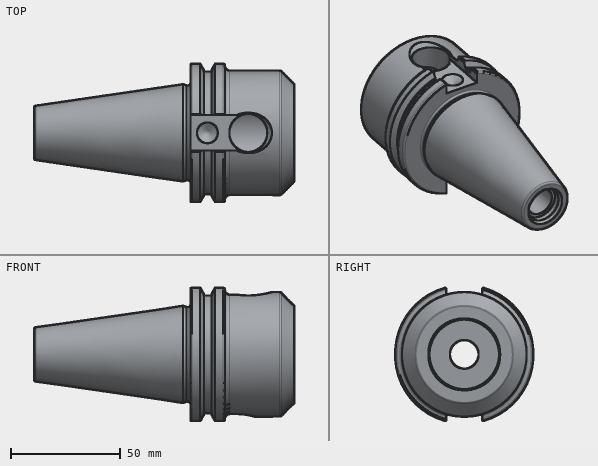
import cadquery as cq
import math

LENGTH = 119.0

TAPER_RATE = 7 / 24
GAUGE_DIAMETER = 44.6
GAUGE_X = 68.1
SMALL_END_FILLET = 1.0
NECK_DIAMETER = 43.6
NECK_START = 69.6
NECK_FILLET = 0.7

FLANGE_DIAMETER = 63.5
FLANGE_START = 71.4
FLANGE_END = 87.3
FLANGE_FILLET = 0.8
GROOVE_FLOOR_DIAMETER = 56.3
GROOVE_FLOOR_START = 77.6
GROOVE_FLOOR_END = 81.2
GROOVE_FLANK_RUN = 1.7
GROOVE_FLANK_ANGLE = 60.0

BODY_DIAMETER = 57.1
BODY_FILLET = 2.1
NOSE_CHAMFER = 6.3
NOSE_BLEND = 1.2
NOSE_FILLET = 0.6

THROUGH_DIAMETER = 13.0
PILOT_DIAMETER = 16.3
PILOT_DEPTH = 4.6
ENTRY_DIAMETER = 18.3
ENTRY_DEPTH = 1.7
TOOL_BORE_DIAMETER = 31.8
TOOL_BORE_MOUTH = 33.0
TOOL_BORE_DEPTH = 57.1

KEY_WIDTH = 16.3
KEY_EDGE_CHAMFER = 0.6
TOP_KEY_FLOOR = 24.9
BOTTOM_KEY_FLOOR = 22.6
BOTTOM_KEY_END = 101.2
SCREW_X = 98.0
SCREW_DIAMETER = 17.4
SCREW_SINK_START = 26.4
DIMPLE_X = 79.3
DIMPLE_DIAMETER = 9.5
DIMPLE_HALF_ANGLE = 60.0

FLANGE_R = FLANGE_DIAMETER / 2
BODY_R = BODY_DIAMETER / 2
KEY_HALF = KEY_WIDTH / 2


def revolve_profile(profile):
    """Turn a closed profile, drawn as (X, radius), about the X axis."""
    return profile.close().revolve(360, (0, 0, 0), (1, 0, 0))


def ring_edge(x, radius):
    """Select the circular edge at a given X and radius."""
    pad = 0.06
    return cq.selectors.BoxSelector(
        (x - pad, -radius - pad, -radius - pad),
        (x + pad, radius + pad, radius + pad),
        boundingbox=True,
    )


def turned_blank():
    gauge_r = GAUGE_DIAMETER / 2
    small_r = gauge_r - GAUGE_X * TAPER_RATE / 2
    neck_r = NECK_DIAMETER / 2
    floor_r = GROOVE_FLOOR_DIAMETER / 2
    flank_r = FLANGE_R - GROOVE_FLANK_RUN * math.tan(math.radians(GROOVE_FLANK_ANGLE))
    nose_r = BODY_R - NOSE_CHAMFER
    nose_x = LENGTH - NOSE_CHAMFER
    diagonal = math.sqrt(0.5)

    neck_mid = (
        FLANGE_START - NECK_FILLET * (1 - diagonal),
        neck_r + NECK_FILLET * (1 - diagonal),
    )
    body_mid = (
        FLANGE_END + BODY_FILLET * (1 - diagonal),
        BODY_R + BODY_FILLET * (1 - diagonal),
    )
    profile = (
        cq.Workplane("XY")
        .moveTo(0, 0)
        .lineTo(0, small_r)
        .lineTo(GAUGE_X, gauge_r)
        .lineTo(NECK_START, neck_r)
        .lineTo(FLANGE_START - NECK_FILLET, neck_r)
        .threePointArc(neck_mid, (FLANGE_START, neck_r + NECK_FILLET))
        .lineTo(FLANGE_START, FLANGE_R)
        .lineTo(GROOVE_FLOOR_START - GROOVE_FLANK_RUN, FLANGE_R)
        .lineTo(GROOVE_FLOOR_START, flank_r)
        .lineTo(GROOVE_FLOOR_START, floor_r)
        .lineTo(GROOVE_FLOOR_END, floor_r)
        .lineTo(GROOVE_FLOOR_END, flank_r)
        .lineTo(GROOVE_FLOOR_END + GROOVE_FLANK_RUN, FLANGE_R)
        .lineTo(FLANGE_END, FLANGE_R)
        .lineTo(FLANGE_END, BODY_R + BODY_FILLET)
        .threePointArc(body_mid, (FLANGE_END + BODY_FILLET, BODY_R))
        .lineTo(nose_x, BODY_R)
        .lineTo(LENGTH, nose_r)
        .lineTo(LENGTH, 0)
    )
    blank = revolve_profile(profile)
    rounded_rings = [
        (0, small_r, SMALL_END_FILLET),
        (FLANGE_START, FLANGE_R, FLANGE_FILLET),
        (FLANGE_END, FLANGE_R, FLANGE_FILLET),
        (nose_x, BODY_R, NOSE_BLEND),
        (LENGTH, nose_r, NOSE_FILLET),
    ]
    for x, radius, fillet in rounded_rings:
        ring = blank.edges(ring_edge(x, radius)).edges(cq.selectors.RadiusNthSelector(-1))
        blank = ring.fillet(fillet)
    return blank


def axial_holes():
    through_r = THROUGH_DIAMETER / 2
    pilot_r = PILOT_DIAMETER / 2
    bore_r = TOOL_BORE_DIAMETER / 2
    mouth_r = TOOL_BORE_MOUTH / 2
    bore_floor = LENGTH - TOOL_BORE_DEPTH
    profile = (
        cq.Workplane("XY")
        .moveTo(0, 0)
        .lineTo(0, ENTRY_DIAMETER / 2)
        .lineTo(ENTRY_DEPTH, pilot_r)
        .lineTo(PILOT_DEPTH, pilot_r)
        .lineTo(PILOT_DEPTH, through_r)
        .lineTo(bore_floor, through_r)
        .lineTo(bore_floor, bore_r)
        .lineTo(LENGTH - (mouth_r - bore_r), bore_r)
        .lineTo(LENGTH, mouth_r)
        .lineTo(LENGTH, 0)
    )
    return revolve_profile(profile)


def key_edge_chamfers(side):
    """V-shaped cut that breaks the keyway edges on the flange rim; side is +1 or -1."""
    rim_z = math.sqrt(FLANGE_R**2 - (KEY_HALF + KEY_EDGE_CHAMFER)**2)
    low_z = rim_z - KEY_EDGE_CHAMFER
    top_half = KEY_HALF + FLANGE_R - low_z
    return (
        cq.Workplane("YZ", origin=(FLANGE_START, 0, 0))
        .polyline([
            (-KEY_HALF, side * low_z),
            (KEY_HALF, side * low_z),
            (top_half, side * FLANGE_R),
            (-top_half, side * FLANGE_R),
        ])
        .close()
        .extrude(FLANGE_END - FLANGE_START)
    )


def top_keyway():
    return cq.Workplane("XY").box(
        SCREW_X - FLANGE_START, KEY_WIDTH, FLANGE_R - TOP_KEY_FLOOR, centered=(False, True, False)
    ).translate((FLANGE_START, 0, TOP_KEY_FLOOR))


def bottom_keyway():
    """Keyway with a half-round closed end."""
    end_center = BOTTOM_KEY_END - KEY_HALF
    return (
        cq.Workplane("XY", origin=(0, 0, -FLANGE_R))
        .moveTo(FLANGE_START, -KEY_HALF)
        .lineTo(end_center, -KEY_HALF)
        .threePointArc((BOTTOM_KEY_END, 0), (end_center, KEY_HALF))
        .lineTo(FLANGE_START, KEY_HALF)
        .close()
        .extrude(FLANGE_R - BOTTOM_KEY_FLOOR)
    )


def screw_hole():
    """Clamping screw hole from the top into the tool bore, with a 45 degree countersink."""
    screw_r = SCREW_DIAMETER / 2
    sink_depth = FLANGE_R - SCREW_SINK_START
    up = cq.Vector(0, 0, 1)
    hole = cq.Solid.makeCylinder(screw_r, FLANGE_R, cq.Vector(SCREW_X, 0, 0), up)
    sink_base = cq.Vector(SCREW_X, 0, SCREW_SINK_START)
    sink = cq.Solid.makeCone(screw_r, screw_r + sink_depth, sink_depth, sink_base, up)
    return cq.Workplane(hole).union(cq.Workplane(sink))


def dimple():
    """Conical drill-point dimple in the floor of the top keyway."""
    radius = DIMPLE_DIAMETER / 2
    depth = radius / math.tan(math.radians(DIMPLE_HALF_ANGLE))
    base = cq.Vector(DIMPLE_X, 0, TOP_KEY_FLOOR)
    return cq.Workplane(cq.Solid.makeCone(radius, 0, depth, base, cq.Vector(0, 0, -1)))


result = turned_blank()
cuts = [
    axial_holes(),
    top_keyway(),
    bottom_keyway(),
    key_edge_chamfers(1),
    key_edge_chamfers(-1),
    screw_hole(),
    dimple(),
]
for cut in cuts:
    result = result.cut(cut)